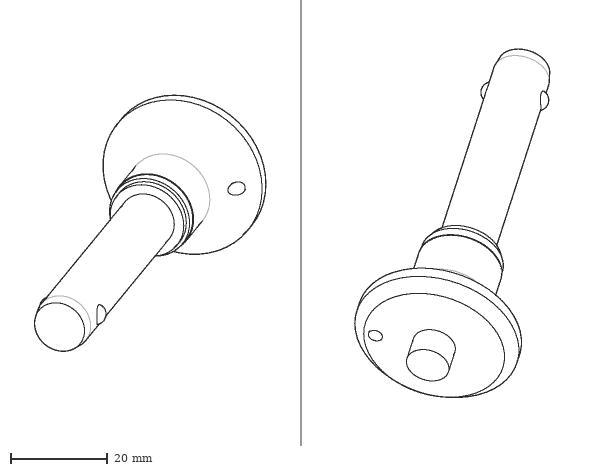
import cadquery as cq

total_length = 88.8

shank_diameter = 12.0
shank_radius = shank_diameter / 2
shank_length = 55.4
tip_radius = 5.5
tip_length = 2.5

collar_radius = 8.1
collar_length = 1.6
step_radius = 8.8
step_length = 2.0
hub_radius = 9.0

head_radius = 17.5
rim_length = 2.5
head_chamfer = 2.5
flare_radius = head_radius - hub_radius

button_radius = 4.5
button_length = 5.95

ball_radius = 2.2
ball_reach = 7.2
ball_y = 8.4

lanyard_hole_diameter = 3.0
lanyard_hole_x = 12.5

collar_end = shank_length + collar_length
step_end = collar_end + step_length
head_top = total_length - button_length
rim_top = head_top - head_chamfer
rim_bottom = rim_top - rim_length
flare_start = rim_bottom - flare_radius


def pin_body():
    """Shank, hub, flared head and push button as one revolved profile."""
    profile = (
        cq.Workplane("XY")
        .lineTo(tip_radius, 0)
        .lineTo(shank_radius, tip_length)
        .lineTo(shank_radius, shank_length)
        .lineTo(collar_radius, shank_length)
        .lineTo(collar_radius, collar_end)
        .lineTo(step_radius, collar_end)
        .lineTo(step_radius, step_end)
        .lineTo(hub_radius, step_end)
        .lineTo(hub_radius, flare_start)
        .radiusArc((head_radius, rim_bottom), flare_radius)
        .lineTo(head_radius, rim_top)
        .lineTo(head_radius - head_chamfer, head_top)
        .lineTo(button_radius, head_top)
        .lineTo(button_radius, total_length)
        .lineTo(0, total_length)
        .close()
    )
    return profile.revolve(360, (0, 0, 0), (0, 1, 0))


def locking_ball(side):
    """Ball protruding from the shank; side is -1 or +1 along X."""
    center_x = side * (ball_reach - ball_radius)
    return cq.Workplane("XY").sphere(ball_radius).translate((center_x, ball_y, 0))


def lanyard_hole():
    """Hole through the head, parallel to the pin axis."""
    return (
        cq.Workplane("XZ")
        .center(lanyard_hole_x, 0)
        .circle(lanyard_hole_diameter / 2)
        .extrude(-total_length)
    )


result = pin_body()
for side in (-1, 1):
    result = result.union(locking_ball(side))
result = result.cut(lanyard_hole())